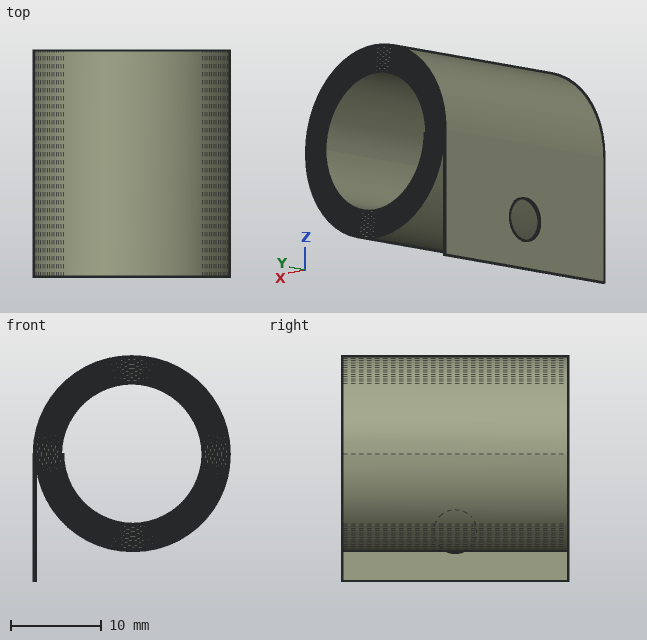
import cadquery as cq

strip_width = 25.0
strip_thickness = 0.25
layer_gap = 0.001
turns = 12
outer_radius = 10.82
tab_length = 14.0
hole_diameter = 4.75
hole_to_tab_end = 5.5

pitch = strip_thickness + layer_gap


def add_half_turn(outline, start_x, end_x, upper):
    """Add a semicircle between two points on the X axis, above or below it."""
    radius = abs(end_x - start_x) / 2
    crown_z = radius if upper else -radius
    return outline.threePointArc(((start_x + end_x) / 2, crown_z), (end_x, 0))


def strip_outline():
    """Outline of the tab and coil; each turn is an upper and a lower semicircle."""
    tab_outer_x = -outer_radius
    tab_inner_x = tab_outer_x + strip_thickness
    outline = cq.Workplane("XZ", origin=(0, strip_width / 2, 0))
    outline = outline.moveTo(tab_outer_x, -tab_length).lineTo(tab_outer_x, 0)

    for turn in range(turns):
        left_x = tab_outer_x + turn * pitch
        outline = add_half_turn(outline, left_x, outer_radius - turn * pitch, True)
        outline = add_half_turn(outline, outer_radius - turn * pitch, left_x + pitch, False)

    outline = outline.lineTo(tab_inner_x + turns * pitch, 0)
    for turn in reversed(range(turns)):
        left_x = tab_inner_x + turn * pitch
        right_x = outer_radius - strip_thickness - turn * pitch
        outline = add_half_turn(outline, left_x + pitch, right_x, False)
        outline = add_half_turn(outline, right_x, left_x, True)

    return outline.lineTo(tab_inner_x, -tab_length).close()


def tab_hole():
    """Cylinder along X that passes through the tab only."""
    return (
        cq.Workplane("YZ", origin=(-outer_radius, 0, hole_to_tab_end - tab_length))
        .circle(hole_diameter / 2)
        .extrude(strip_thickness)
    )


result = strip_outline().extrude(strip_width).cut(tab_hole())